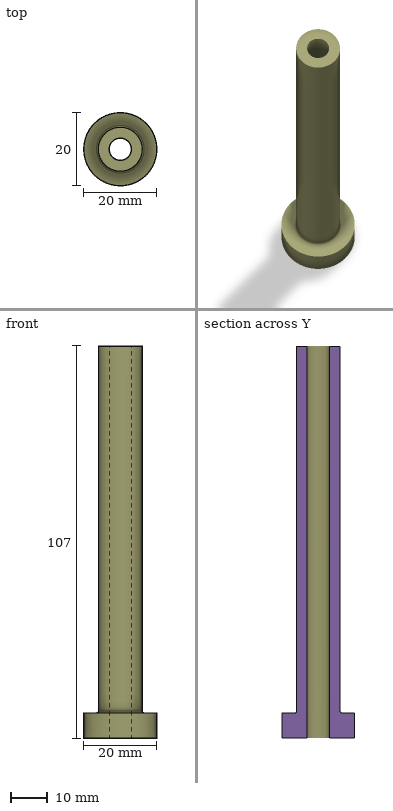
import cadquery as cq

total_length = 107.0
head_diameter = 20.0
head_height = 7.0
shank_diameter = 12.0
bore_diameter = 6.0
neck_fillet_radius = 0.5

head_radius = head_diameter / 2
shank_radius = shank_diameter / 2
bore_radius = bore_diameter / 2

half_section = (
    cq.Workplane("XZ")
    .moveTo(bore_radius, 0)
    .lineTo(head_radius, 0)
    .lineTo(head_radius, head_height)
    .lineTo(shank_radius + neck_fillet_radius, head_height)
    .radiusArc((shank_radius, head_height + neck_fillet_radius), neck_fillet_radius)
    .lineTo(shank_radius, total_length)
    .lineTo(bore_radius, total_length)
    .close()
)

result = half_section.revolve(360, (0, 0, 0), (0, 1, 0))